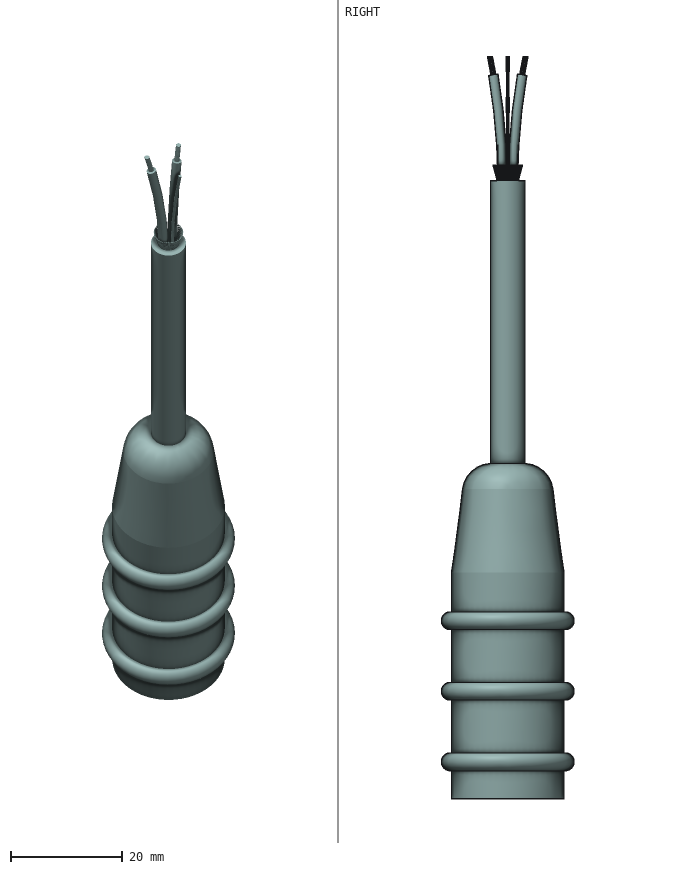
import cadquery as cq
import math

body_diameter = 20.3
barrel_height = 40.6
body_height = 60.2
taper_top_diameter = 15.0
dome_radius = 5.3

ring_outer_diameter = 23.9
ring_thickness = 3.2
ring_flat_diameter = 21.2
ring_heights = [6.7, 19.3, 32]

cable_diameter = 6.3
cable_top = 111.0
root_depth = 0.7

braid_base_diameter = 3.7
braid_top_diameter = 5.2
braid_top = 113.8
braid_strand_diameter = 0.1
braid_strand_count = 72

total_height = 133.3
insulation_diameter = 1.7
insulation_top = 130.0
core_strand_diameter = 0.2
core_start_x = -0.3
core_start_y = 0.9
core_lean_x = -2.0
core_lean_y = 2.3

drain_strand_diameter = 0.127
drain_start_x = 1.5
drain_lean_x = 3.0

bundle_outer_strands = 12
bundle_pitch_ratio = 1.8
trim_margin = 1.3

wire_root = cable_top - root_depth


def make_body():
    """Straight barrel, tapered shoulder and domed top."""
    profile = (
        cq.Workplane("XZ")
        .lineTo(body_diameter / 2, 0)
        .lineTo(body_diameter / 2, barrel_height)
        .lineTo(taper_top_diameter / 2, body_height)
        .lineTo(0, body_height)
        .close()
    )
    solid = profile.revolve(360, (0, 0, 0), (0, 1, 0))
    return solid.faces(">Z").edges().fillet(dome_radius)


def make_ring(height):
    """Ring around the barrel with narrow flat sides and a rounded rim."""
    half_thickness = ring_thickness / 2
    outer_radius = ring_outer_diameter / 2
    rim_start = ring_flat_diameter / 2
    profile = (
        cq.Workplane("XZ", origin=(0, 0, height))
        .moveTo(0, -half_thickness)
        .lineTo(rim_start, -half_thickness)
        .threePointArc((outer_radius, 0), (rim_start, half_thickness))
        .lineTo(0, half_thickness)
        .close()
    )
    return profile.revolve(360, (0, 0, 0), (0, 1, 0))


def make_braid_strand(angle):
    """One straight shield strand leaning outward at the given angle around the cable."""
    outward = cq.Vector(math.cos(angle), math.sin(angle), 0)
    flare = (braid_top_diameter - braid_base_diameter) / 2 / (braid_top - cable_top)
    direction = outward * flare + cq.Vector(0, 0, 1)
    rise = braid_top - wire_root
    root_radius = braid_base_diameter / 2 - flare * root_depth
    start = outward * root_radius + cq.Vector(0, 0, wire_root)
    return cq.Solid.makeCylinder(braid_strand_diameter / 2, rise * direction.Length, start, direction)


def bend_path(start_x, start_y, lean_x, lean_y, top):
    """Arc that leaves the cable vertically and bends so that it has moved by the lean at full height."""
    lean = math.hypot(lean_x, lean_y)
    rise = total_height - wire_root
    bend_radius = (lean**2 + rise**2) / (2 * lean)
    end_angle = math.asin((top - wire_root) / bend_radius)

    def point_at(angle):
        offset = bend_radius * (1 - math.cos(angle)) / lean
        height = wire_root + bend_radius * math.sin(angle)
        return cq.Vector(start_x + lean_x * offset, start_y + lean_y * offset, height)

    return cq.Edge.makeThreePointArc(point_at(0), point_at(end_angle / 2), point_at(end_angle))


def strand_bundle(strand_diameter):
    """Section of a stranded conductor: a solid middle with a circle of strands around it."""
    pitch_radius = bundle_pitch_ratio * strand_diameter
    return (
        cq.Sketch()
        .circle(pitch_radius)
        .parray(pitch_radius, 0, 360, bundle_outer_strands)
        .circle(strand_diameter / 2)
        .reset()
        .clean()
    )


def make_wire(section, start_x, start_y, lean_x, lean_y, top):
    """Section swept along the bend up to the given height."""
    path = bend_path(start_x, start_y, lean_x, lean_y, top)
    base = cq.Workplane("XY", origin=(start_x, start_y, wire_root))
    return base.placeSketch(section).sweep(path)


result = make_body()
for ring_height in ring_heights:
    result = result.union(make_ring(ring_height))

cable = cq.Workplane("XY").circle(cable_diameter / 2).extrude(cable_top)
result = result.union(cable)

strand_end = total_height + trim_margin
insulation = cq.Sketch().circle(insulation_diameter / 2)
core = strand_bundle(core_strand_diameter)
for side in (-1, 1):
    placement = (core_start_x, side * core_start_y, core_lean_x, side * core_lean_y)
    result = result.union(make_wire(insulation, *placement, insulation_top))
    result = result.union(make_wire(core, *placement, strand_end))

drain = strand_bundle(drain_strand_diameter)
result = result.union(make_wire(drain, drain_start_x, 0, drain_lean_x, 0, strand_end))

strands = [
    make_braid_strand(2 * math.pi * index / braid_strand_count) for index in range(braid_strand_count)
]
result = result.union(cq.Workplane().newObject(strands))

result = result.intersect(cq.Workplane("XY").circle(ring_outer_diameter).extrude(total_height))